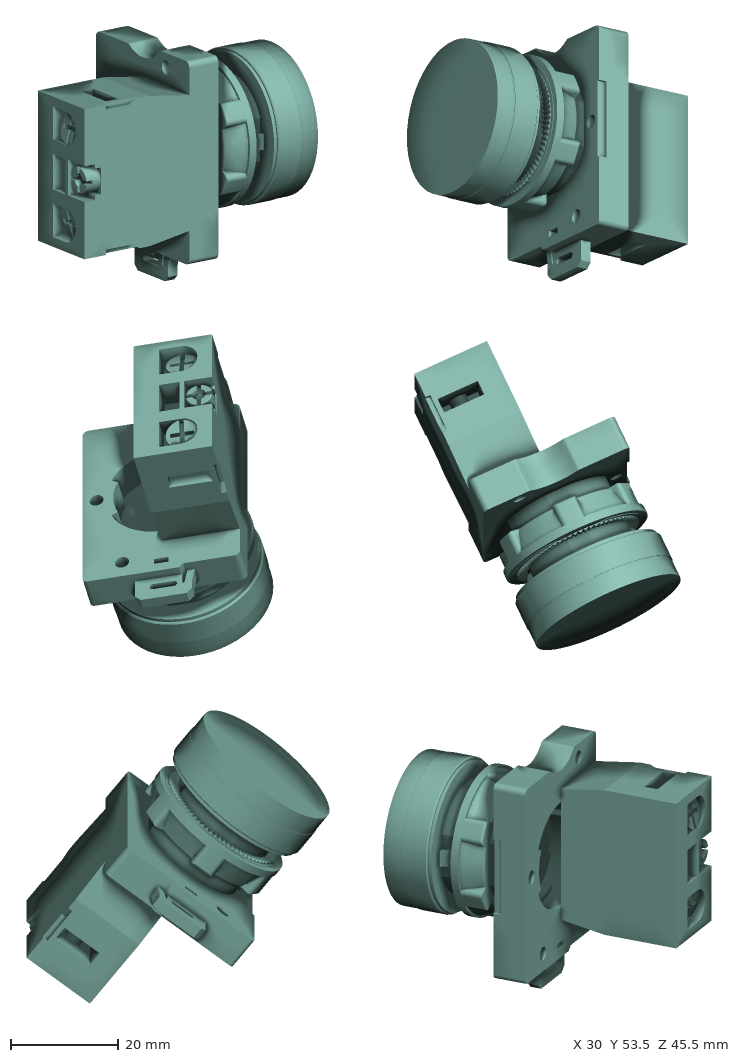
import cadquery as cq
import math


overall_length = 53.5
plate_width = 30.0
plate_thickness = 6.65
block_length = 23.95

half_width = plate_width / 2
head_front = overall_length - plate_thickness - block_length
block_front = -plate_thickness - block_length

cap_radius = 14.85
cap_length = 3.9
bezel_radius = half_width
bezel_end = 13.8
bezel_chamfer = 0.2
flange_radius = 14.5
flange_end = 13.1

collar_radius = 10.9
collar_side_flat = 10.05
collar_top_flat = 10.7

clip_width = 3.05

nut_radius = 14.5
nut_teeth_tip = 9.65
nut_teeth_root = 9.25
nut_teeth_radius = 12.55
nut_teeth_inner_radius = 10.45
nut_seat_radius = 13.3
nut_seat_half_height = 11.75
nut_rim_start = 9.15
nut_rim_end = 7.6
nut_end = 3.15
nut_end_rounding = 0.45
nut_cone_large = 13.95
nut_cone_small = 12.35
tooth_count = 72
rib_count = 6
rib_half_width = 2.35
rib_rounding = 0.95

plate_top_right = 19.6
plate_top_left = 18.5
plate_bottom_right = -19.95
plate_bottom_left = -20.8
plate_step_x = 4.2
plate_corner = 1.1
plate_lower_corner = 0.9
notch_high_rounding = 0.9
notch_radius = 7.0
notch_bottom = 16.9
hole_diameter = 2.7
hole_x = 7.5
upper_hole_z = 16.75
lower_hole_z = -17.25
side_hole_x = -12.35
window_width = 2.8
window_height = 1.25
window_z = -18.3
side_recess_depth = 0.55
side_recess_length = 1.6
side_recess_height = 15.0
bore_radius = 10.55
bore_key_radius = 9.15
bore_key_half_angle = 25.4
ledge_radius = 9.7
ledge_half_width = 4.45
ledge_depth = 4.05
ledge_thickness = 0.7

tab_left = -5.4
tab_right = 5.45
tab_bottom = -25.9
tab_front = -2.5
tab_thickness = 2.2
tab_chamfer = 1.05
tab_bend_z = -23.0
tab_prong_right = 5.95
tab_slit_left = 3.6
tab_slit_right = 4.0
tab_slit_top_right = 4.55
tab_slot_length = 5.25
tab_slot_width = 1.3
tab_slot_z = -22.9

block_left = 0.05
block_half_height = 14.6
block_root_half_height = 13.2
block_taper_end = -15.7
recess_left = 4.85
recess_half_height = 3.5

terminal_x = 9.05
terminal_z = 9.45
terminal_tilt = 13.0
terminal_radius = 3.15
terminal_depth = 4.5
screw_head_radius = 3.1
screw_head_drop = 1.1
screw_head_height = 4.55
screw_shank_radius = 1.75
screw_shank_length = 4.8
screw_slot_width = 0.9
screw_slot_length = 4.6
screw_slot_depth = 1.05

wire_slot_right = 13.1
wire_slot_front = -24.35
wire_slot_back = -21.5
wire_slot_floor = 6.4
edge_notch_depth = 0.95
edge_notch_front = -25.6
edge_notch_back = -18.0
edge_notch_drop = 1.0
edge_notch_ramp_length = 1.9

middle_pocket_right = 8.85
middle_pocket_depth = 5.35
middle_recess_left = 9.7
middle_recess_depth = 2.4
middle_channel_depth = 3.75
middle_screw_x = 12.35
middle_channel_radius = 2.6
middle_screw_radius = 2.55
middle_screw_drop = 0.6
middle_screw_slot_width = 0.8
middle_screw_slot_depth = 1.35
middle_screw_bore_radius = 1.3
middle_screw_rounding = 0.25

overlap = 0.25


def section_plane(y):
    """Workplane across the button axis; extrusions run towards the contact block (-Y)."""
    return cq.Workplane("XZ", origin=(0, y, 0))


def disc(y_start, y_end, radius):
    return section_plane(y_start).circle(radius).extrude(y_start - y_end)


def box(x_range, y_range, z_range):
    """Box from its two limits along each axis."""
    limits = (x_range, y_range, z_range)
    sizes = [high - low for low, high in limits]
    return cq.Workplane("XY").box(*sizes, centered=False).translate(tuple(low for low, high in limits))


def make_head():
    cap_end = head_front - cap_length
    bezel = disc(cap_end, bezel_end, bezel_radius).faces("<Y").chamfer(bezel_chamfer)
    cap = disc(head_front, cap_end, cap_radius)
    flange = disc(bezel_end, flange_end, flange_radius)
    return cap.union(bezel).union(flange)


def make_collar():
    flats = box(
        (-collar_side_flat, collar_side_flat), (0, flange_end), (-collar_top_flat, collar_top_flat)
    )
    return disc(flange_end, 0, collar_radius).intersect(flats)


def make_clips():
    """Two bent strips that lean outwards towards the head."""
    root = collar_side_flat - overlap
    outline = [
        (root, 11.2), (collar_side_flat, 11.2), (10.95, 12.75), (11.8, 12.7),
        (12.0, 12.5), (10.95, 10.75), (10.6, 10.3), (10.2, 10.2), (root, 10.2),
    ]
    clip = cq.Workplane("XY").polyline(outline).close().extrude(clip_width / 2, both=True)
    return clip.union(clip.mirror("YZ"))


def make_nut():
    rim = disc(nut_rim_start, nut_rim_end, nut_radius)
    seat = disc(nut_teeth_root, nut_rim_start, nut_seat_radius)
    seat = seat.intersect(
        box(
            (-nut_seat_radius, nut_seat_radius),
            (nut_rim_start, nut_teeth_root),
            (-nut_seat_half_height, nut_seat_half_height),
        )
    )

    cone = (
        cq.Workplane("XY")
        .polyline([
            (0, nut_rim_end), (nut_cone_large, nut_rim_end), (nut_cone_small, nut_end), (0, nut_end),
        ])
        .close()
        .revolve(360, (0, 0, 0), (0, 1, 0))
        .faces("<Y")
        .edges()
        .fillet(nut_end_rounding)
    )
    rib_envelope = disc(nut_rim_end, nut_end, nut_radius)
    rib = (
        section_plane(nut_rim_end)
        .rect(2 * rib_half_width, nut_radius, centered=(True, False))
        .extrude(nut_rim_end - nut_end)
        .intersect(rib_envelope)
        .edges("|Y")
        .edges(">Z")
        .fillet(rib_rounding)
        .intersect(rib_envelope.faces("<Y").edges().fillet(nut_end_rounding))
    )
    nut = rim.union(seat).union(cone)
    for index in range(rib_count):
        nut = nut.union(rib.rotate((0, 0, 0), (0, 1, 0), index * 360 / rib_count))
    return nut.union(make_nut_teeth())


def make_nut_teeth():
    """Ring of fine radial teeth on the seat of the nut."""
    groove_half = nut_teeth_inner_radius * math.tan(math.pi / tooth_count)
    groove_shape = [
        (-groove_half, nut_teeth_tip), (0, nut_teeth_root), (groove_half, nut_teeth_tip),
    ]
    groove = (
        cq.Workplane("XY", origin=(0, 0, nut_teeth_inner_radius))
        .polyline(groove_shape)
        .close()
        .extrude(nut_teeth_radius - nut_teeth_inner_radius + overlap)
    )
    grooves = [
        groove.rotate((0, 0, 0), (0, 1, 0), index * 360 / tooth_count).val()
        for index in range(tooth_count)
    ]
    ring = disc(nut_teeth_tip, nut_teeth_root, nut_teeth_radius)
    return ring.cut(cq.Workplane(cq.Compound.makeCompound(grooves)))


def make_plate():
    step_run = plate_bottom_right - plate_bottom_left
    outline = [
        (-half_width, plate_bottom_left),
        (plate_step_x - step_run, plate_bottom_left),
        (plate_step_x, plate_bottom_right),
        (half_width, plate_bottom_right),
        (half_width, plate_top_right),
        (0, plate_top_right),
        (0, plate_top_left),
        (-half_width, plate_top_left),
    ]
    notch_center_z = notch_bottom + notch_radius
    notch = disc(0, -plate_thickness, notch_radius).translate((0, 0, notch_center_z))
    plate = section_plane(0).polyline(outline).close().extrude(plate_thickness).cut(notch)

    left_crossing = math.sqrt(notch_radius**2 - (notch_center_z - plate_top_left) ** 2)
    right_crossing = math.sqrt(notch_radius**2 - (notch_center_z - plate_top_right) ** 2)
    roundings = [
        (-half_width, plate_top_left, plate_corner),
        (-left_crossing, plate_top_left, plate_corner),
        (right_crossing, plate_top_right, notch_high_rounding),
        (half_width, plate_top_right, plate_corner),
        (half_width, plate_bottom_right, plate_corner),
        (-half_width, plate_bottom_left, plate_lower_corner),
    ]
    for x, z, radius in roundings:
        corner = (x, -plate_thickness / 2, z)
        plate = plate.edges(cq.selectors.NearestToPointSelector(corner)).fillet(radius)

    holes = [(hole_x, upper_hole_z), (-hole_x, lower_hole_z), (side_hole_x, 0)]
    hole_tools = section_plane(0).pushPoints(holes).circle(hole_diameter / 2).extrude(plate_thickness)
    window = section_plane(0).center(0, window_z).rect(window_width, window_height).extrude(plate_thickness)
    side_recess = box(
        (-half_width, -half_width + side_recess_depth),
        (-side_recess_length, 0),
        (-side_recess_height / 2, side_recess_height / 2),
    )
    return plate.cut(hole_tools).cut(window).cut(side_recess).cut(make_bore())


def make_bore():
    """Bore closed by the collar, with two side keys and two thin curved ledges left standing."""
    bore = disc(0, -plate_thickness, bore_radius)

    reach = 2 * bore_radius
    key_rise = reach * math.tan(math.radians(bore_key_half_angle))
    for side in (-1, 1):
        sector = (
            section_plane(0)
            .polyline([(0, 0), (side * reach, key_rise), (side * reach, -key_rise)])
            .close()
            .extrude(plate_thickness)
        )
        bore = bore.cut(sector.cut(disc(0, -plate_thickness, bore_key_radius)))

    ledge_front = ledge_depth - plate_thickness
    ledge_back = ledge_front + ledge_thickness
    ledge_zone = box(
        (-ledge_half_width, ledge_half_width), (ledge_front, ledge_back), (-bore_radius, bore_radius)
    )
    return bore.cut(ledge_zone.cut(disc(ledge_back, ledge_front, ledge_radius)))


def make_tab():
    tab_root = plate_bottom_left + overlap
    prong_root = plate_bottom_right + overlap
    outline = [
        (tab_left, tab_root),
        (tab_slit_left, tab_root),
        (tab_slit_left, tab_bend_z),
        (tab_slit_right, tab_bend_z),
        (tab_slit_top_right, plate_bottom_right),
        (tab_slit_top_right, prong_root),
        (tab_prong_right, prong_root),
        (tab_prong_right, plate_bottom_right),
        (tab_right, tab_bend_z),
        (tab_right, tab_bottom + tab_chamfer),
        (tab_right - tab_chamfer, tab_bottom),
        (tab_left + tab_chamfer, tab_bottom),
        (tab_left, tab_bottom + tab_chamfer),
    ]
    slot = section_plane(tab_front).center(0, tab_slot_z).slot2D(tab_slot_length, tab_slot_width)
    tab = section_plane(tab_front).polyline(outline).close().extrude(tab_thickness)
    return tab.cut(slot.extrude(tab_thickness))


def make_block():
    profile = [
        (-plate_thickness, block_root_half_height),
        (block_taper_end, block_half_height),
        (block_front, block_half_height),
        (block_front, -block_half_height),
        (block_taper_end, -block_half_height),
        (-plate_thickness, -block_root_half_height),
    ]
    block = (
        cq.Workplane("YZ", origin=(block_left, 0, 0))
        .polyline(profile)
        .close()
        .extrude(half_width - block_left)
    )
    pocket = box(
        (recess_left, middle_pocket_right),
        (block_front, block_front + middle_pocket_depth),
        (-recess_half_height, recess_half_height),
    )
    block = block.cut(pocket)
    for side in (1, -1):
        block = block.cut(make_wire_slot(side)).cut(make_edge_notch(side))
        block = block.cut(make_terminal_pocket(side)).union(make_terminal_screw(side))
    return block.cut(make_middle_recess()).union(make_middle_screw())


def make_wire_slot(side):
    slot = box(
        (recess_left, wire_slot_right),
        (wire_slot_front, wire_slot_back),
        (wire_slot_floor, block_half_height),
    )
    return slot if side > 0 else slot.mirror("XY")


def make_edge_notch(side):
    """Notch in the outer block edge, with a ramp at its plate end."""
    top = side * block_half_height
    floor = side * (block_half_height - edge_notch_drop)
    outline = [
        (edge_notch_back, top),
        (edge_notch_back - edge_notch_ramp_length, floor),
        (edge_notch_front, floor),
        (edge_notch_front, top),
    ]
    start = (half_width - edge_notch_depth, 0, 0)
    return cq.Workplane("YZ", origin=start).polyline(outline).close().extrude(edge_notch_depth)


def terminal_plane(side, drop=0.0):
    """Plane across the tilted screw axis, `drop` below the block front; its normal points outwards."""
    tilt = math.radians(terminal_tilt)
    normal = (0, -math.cos(tilt), side * math.sin(tilt))
    origin = (terminal_x, block_front - drop * normal[1], side * terminal_z - drop * normal[2])
    return cq.Workplane(cq.Plane(origin=origin, xDir=(1, 0, 0), normal=normal))


def make_terminal_pocket(side):
    """Tilted pocket, round on one side and square on the other, its floor parallel to the block front."""
    run = 2 * terminal_depth
    square_width = terminal_x - recess_left
    square = terminal_plane(side).center(-square_width / 2, 0).rect(square_width, 2 * terminal_radius)
    prism = terminal_plane(side).circle(terminal_radius).extrude(run, both=True)
    prism = prism.union(square.extrude(run, both=True))
    depth_limit = box(
        (block_left, half_width), (block_front - overlap, block_front + terminal_depth),
        (-block_half_height, block_half_height),
    )
    return prism.intersect(depth_limit)


def make_terminal_screw(side):
    face = terminal_plane(side, screw_head_drop)
    shank_start = terminal_plane(side, screw_head_drop + screw_head_height)
    head = face.circle(screw_head_radius).extrude(-screw_head_height)
    for length, width in (
        (screw_slot_length, screw_slot_width),
        (screw_slot_width, 2 * screw_head_radius),
    ):
        head = head.cut(face.rect(length, width).extrude(-screw_slot_depth))
    return head.union(shank_start.circle(screw_shank_radius).extrude(-screw_shank_length))


def make_middle_recess():
    """Recess open to the block side, with a deeper round-ended channel around the screw."""
    recess = box(
        (middle_recess_left, half_width),
        (block_front, block_front + middle_recess_depth),
        (-recess_half_height, recess_half_height),
    )
    channel_end = block_front + middle_channel_depth
    channel = box(
        (middle_screw_x, half_width),
        (block_front, channel_end),
        (-middle_channel_radius, middle_channel_radius),
    )
    round_end = disc(channel_end, block_front, middle_channel_radius).translate((middle_screw_x, 0, 0))
    return recess.union(channel).union(round_end)


def make_middle_screw():
    """Castellated screw: a rounded ring crossed by two slots."""
    top = block_front + middle_screw_drop
    bottom = block_front + middle_channel_depth + overlap
    slot_floor = top + middle_screw_slot_depth
    screw = disc(bottom, top, middle_screw_radius).faces("<Y").edges().fillet(middle_screw_rounding)
    screw = screw.cut(disc(slot_floor, top, middle_screw_bore_radius))
    slot = section_plane(slot_floor).rect(2 * middle_screw_radius, middle_screw_slot_width)
    slot = slot.extrude(middle_screw_slot_depth)
    screw = screw.cut(slot).cut(slot.rotate((0, 0, 0), (0, 1, 0), 90))
    return screw.translate((middle_screw_x, 0, 0))


result = (
    make_head()
    .union(make_collar())
    .union(make_clips())
    .union(make_nut())
    .union(make_plate())
    .union(make_tab())
    .union(make_block())
)